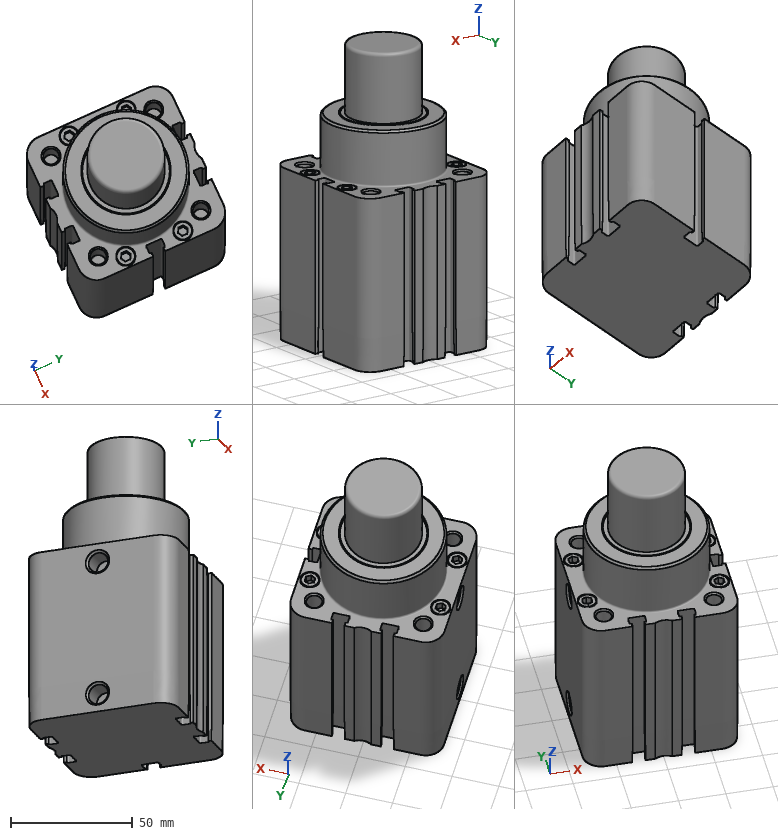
import cadquery as cq
import math

base_top = 14.6
body_height = 74.9
collar_top = 99.0
overall_height = 129.3

body_width = 65.5
body_corner_radius = 8.0
base_draft_degrees = 0.7
half_width = body_width / 2

slot_neck_width = 5.3
slot_width = 7.1
slot_depth = 5.4
slot_lip = 1.7
slot_corner_radius = 0.5
slot_spacing = 21.0

groove_width = 7.1
groove_depth = 1.0

collar_diameter = 52.0
collar_rim_diameter = 50.0
collar_chamfer = (collar_diameter - collar_rim_diameter) / 2
collar_foot_radius = 0.8

rod_diameter = 32.0
rod_bottom = base_top
rod_fillet = 1.5
seal_gap_inner_diameter = 36.0
seal_gap_outer_diameter = 37.0

mount_spacing = 46.5
mount_hole_diameter = 6.6
mount_mouth_diameter = 8.0
mount_hole_depth = 12.9

screw_spacing_x = 55.9
screw_spacing_y = 25.9
screw_head_diameter = 7.5
screw_recess_diameter = 8.0
screw_gap_depth = 0.6
screw_socket_flats = 3.9
screw_socket_depth = 3.2

port_heights = (8.0, 66.8)
port_diameter = 8.5
port_mouth_diameter = 10.5
port_depth = 10.3


def hole_with_mouth(diameter, mouth_diameter, depth):
    """Cutter for a blind hole down from the origin, with a 45 degree chamfer at its mouth."""
    radius = diameter / 2
    mouth_radius = mouth_diameter / 2
    chamfer = mouth_radius - radius
    half_section = [(0, 0), (mouth_radius, 0), (radius, -chamfer), (radius, -depth), (0, -depth)]
    return cq.Workplane("XZ").polyline(half_section).close().revolve(360, (0, 0), (0, 1))


def cut_t_slot(section, offset, angle):
    """Section with a T-slot cut in its +Y side, moved by `offset` along X, then turned about Z."""
    neck = cq.Sketch().push([(offset, half_width - slot_depth / 2)]).rect(slot_neck_width, slot_depth)
    channel_depth = slot_depth - slot_lip
    channel_place = cq.Location(cq.Vector(offset, half_width - slot_lip - channel_depth / 2, 0))
    channel = cq.Sketch().rect(slot_width, channel_depth).vertices().fillet(slot_corner_radius).reset()
    slot = neck.reset().face(channel.moved(channel_place)).reset().clean()
    return section.face(slot.moved(cq.Location(cq.Vector(), cq.Vector(0, 0, 1), angle)), mode="s")


def body_section():
    """Rounded square with a shallow round groove and two T-slots in each Y side and one in the +X side."""
    groove_radius = ((groove_width / 2) ** 2 + groove_depth**2) / (2 * groove_depth)
    groove_center = half_width - groove_depth + groove_radius
    section = (
        cq.Sketch()
        .rect(body_width, body_width)
        .vertices()
        .fillet(body_corner_radius)
        .reset()
        .push([(0, groove_center), (0, -groove_center)])
        .circle(groove_radius, mode="s")
        .reset()
    )
    for angle in (0, 180):
        for side in (-1, 1):
            section = cut_t_slot(section, side * slot_spacing / 2, angle)
    return cut_t_slot(section, 0, -90).clean()


def body_block():
    """Slotted body whose base narrows slightly towards the bottom."""
    section = body_section()
    seam = cq.Workplane("XY", origin=(0, 0, base_top))
    upright = seam.placeSketch(section).extrude(body_height - base_top)
    base = seam.placeSketch(section).extrude(-base_top, taper=base_draft_degrees)
    return upright.union(base)


def collar():
    """Round collar on the body, chamfered at its top and with a rounded foot."""
    radius = collar_diameter / 2
    foot_reach = radius + collar_foot_radius
    arc_offset = collar_foot_radius * (1 - math.sqrt(0.5))
    return (
        cq.Workplane("XZ")
        .moveTo(0, base_top)
        .lineTo(radius, base_top)
        .lineTo(radius, body_height)
        .lineTo(foot_reach, body_height)
        .threePointArc(
            (radius + arc_offset, body_height + arc_offset),
            (radius, body_height + collar_foot_radius),
        )
        .lineTo(radius, collar_top - collar_chamfer)
        .lineTo(radius - collar_chamfer, collar_top)
        .lineTo(0, collar_top)
        .close()
        .revolve(360, (0, 0), (0, 1))
    )


def seal_gap():
    """Cutter for the gap in the collar top, with an upright inner wall and a 45 degree outer wall."""
    inner_radius = seal_gap_inner_diameter / 2
    outer_radius = seal_gap_outer_diameter / 2
    gap_bottom = collar_top - (outer_radius - inner_radius)
    half_section = [(inner_radius, collar_top), (outer_radius, collar_top), (inner_radius, gap_bottom)]
    return cq.Workplane("XZ").polyline(half_section).close().revolve(360, (0, 0), (0, 1))


def screw_cutter():
    """Cutter for the gap around one sunk screw head and for its hexagon socket."""
    gap = (
        cq.Workplane("XY")
        .circle(screw_recess_diameter / 2)
        .circle(screw_head_diameter / 2)
        .extrude(-screw_gap_depth)
    )
    socket_corner_diameter = screw_socket_flats / math.cos(math.radians(30))
    socket = (
        cq.Workplane("XY")
        .polygon(6, socket_corner_diameter)
        .extrude(-screw_socket_depth)
        .rotate((0, 0, 0), (0, 0, 1), 90)
    )
    return gap.union(socket)


def make_housing():
    housing = body_block().union(collar()).cut(seal_gap())

    mount_hole = hole_with_mouth(mount_hole_diameter, mount_mouth_diameter, mount_hole_depth)
    screw = screw_cutter()
    for x_side in (-1, 1):
        for y_side in (-1, 1):
            mount_place = (x_side * mount_spacing / 2, y_side * mount_spacing / 2, body_height)
            housing = housing.cut(mount_hole.translate(mount_place))
            screw_place = (x_side * screw_spacing_x / 2, y_side * screw_spacing_y / 2, body_height)
            housing = housing.cut(screw.translate(screw_place))

    port = hole_with_mouth(port_diameter, port_mouth_diameter, port_depth).rotate((0, 0, 0), (0, 1, 0), -90)
    for height in port_heights:
        housing = housing.cut(port.translate((-half_width, 0, height)))

    rod_bore = (
        cq.Workplane("XY", origin=(0, 0, rod_bottom)).circle(rod_diameter / 2).extrude(collar_top - rod_bottom)
    )
    return housing.cut(rod_bore)


def make_rod():
    return (
        cq.Workplane("XY", origin=(0, 0, rod_bottom))
        .circle(rod_diameter / 2)
        .extrude(overall_height - rod_bottom)
        .faces(">Z")
        .edges()
        .fillet(rod_fillet)
    )


housing = make_housing()
rod = make_rod()
result = cq.Compound.makeCompound([housing.solids().val(), rod.solids().val()])